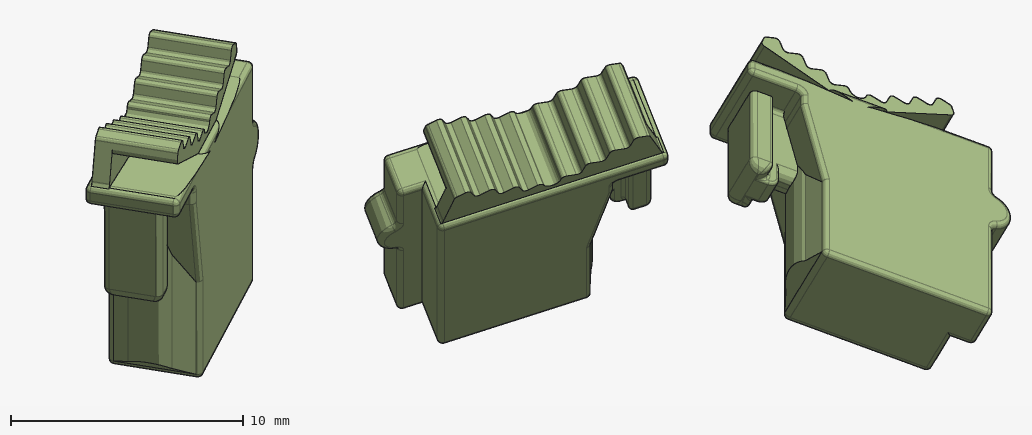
import cadquery as cq
import math

HEIGHT = 13.63
WIDTH = 4.2
DEPTH = 12.5
EDGE = 0.25
PICK = 0.04

PLATE_TOP = 11.38
PLATE_BOTTOM = 10.47
BODY_BACK = 10.52
NECK_FRONT = 2.52
SLOPE_TOP = 9.62
BODY_FRONT = 3.55
SLOPE_BOTTOM = 5.0
SLOPE_RATE = (BODY_FRONT - NECK_FRONT) / (SLOPE_TOP - SLOPE_BOTTOM)

HUMP_LEFT = 1.0
HUMP_RIGHT = 2.97
HUMP_FRONT = 2.92
HUMP_SHOULDER = 3.23
HUMP_BASE = EDGE

RAIL_LEFT = 2.17
RAIL_BACK = 11.61
RAIL_ROOT = 8.18
BUMP_RADIUS = 1.06
BUMP_Z = 7.13
BUMP_FOOT_RADIUS = 0.34

ARM_LEFT = 0.67
ARM_RIGHT = 3.28
ARM_FRONT = 0.53
ARM_BACK = 1.57
ARM_BOTTOM = 5.48
ARM_EDGE = 0.27
CLIP_ROUND = 0.49
STEP_ROUND = 0.15
WEB_INSET = 0.7
WEB_LEFT = ARM_LEFT + WEB_INSET
WEB_RIGHT = ARM_RIGHT - WEB_INSET
WEB_BOTTOM = 6.46
WEB_ROUND = 0.49
TAIL_BACK = 2.17
TAIL_EDGE = 0.14
WEB_TOP_ROUND = 0.2
CLIP_TOP = PLATE_BOTTOM + EDGE

GRIP_MIDDLE = BODY_BACK / 2
GRIP_FOOT = 0.23
FOOT_FRONT = 0.16
FOOT_RISE = 0.16
FLANK_RATE = 0.28
TEETH_PER_SIDE = 4
TOOTH_PITCH = 1.1
TOOTH_DROP = 0.5
TOOTH_TILT = math.radians(20)
TOOTH_ROUND = 0.2
MIDDLE_ROUND = 0.41
FIRST_TOOTH = 1.47

HOLLOW_LEFT = 1.04
LIP_BACK = 0.4
FLOOR_RATE = 0.1
CEILING_LIP_Z = 12.87
CEILING_ROUND = 0.2


def prism_x(points, left, right):
    """Extrude a closed YZ outline along X."""
    return cq.Workplane("YZ").polyline(points).close().extrude(right - left).translate((left, 0, 0))


def edges_at(y, z):
    """Select edges whose middle lies at the given Y and Z, at any X."""
    return cq.selectors.BoxSelector((0, y - PICK, z - PICK), (WIDTH, y + PICK, z + PICK))


def slope_y(z):
    """Y of the sloped front plane at height z."""
    return BODY_FRONT - (z - SLOPE_BOTTOM) * SLOPE_RATE


def flank_y(z):
    """Y of the front flank of the grip at height z."""
    return GRIP_FOOT + FLANK_RATE * (z - PLATE_TOP)


def mirrored(points):
    """Mirror YZ points about the middle of the grip and reverse their order."""
    return [(2 * GRIP_MIDDLE - y, z) for y, z in reversed(points)]


def mirror_copy(solid):
    """Copy of a solid mirrored in Y about the middle of the grip."""
    return solid.mirror("XZ").translate((0, 2 * GRIP_MIDDLE, 0))


def make_body():
    outline = [
        (BODY_BACK, 0), (BODY_BACK, PLATE_TOP), (0, PLATE_TOP), (0, PLATE_BOTTOM),
        (NECK_FRONT, PLATE_BOTTOM), (NECK_FRONT, SLOPE_TOP),
        (BODY_FRONT, SLOPE_BOTTOM), (BODY_FRONT, 0),
    ]
    body = prism_x(outline, 0, WIDTH)
    body = body.edges(edges_at(NECK_FRONT, PLATE_BOTTOM)).fillet(EDGE)
    corners = body.edges("<Z or >Z").add(body.edges("|X").edges("<Y"))
    return corners.add(body.faces("<X or >X").edges()).fillet(EDGE)


def make_hump():
    plan = (
        cq.Workplane("XY")
        .moveTo(EDGE, BODY_FRONT).lineTo(HUMP_LEFT, HUMP_SHOULDER)
        .threePointArc(((HUMP_LEFT + HUMP_RIGHT) / 2, HUMP_FRONT), (HUMP_RIGHT, HUMP_SHOULDER))
        .lineTo(WIDTH - EDGE, BODY_FRONT).lineTo(WIDTH - EDGE, BODY_FRONT + EDGE)
        .lineTo(EDGE, BODY_FRONT + EDGE).close().extrude(PLATE_TOP)
    )
    rise = BODY_FRONT - HUMP_FRONT
    side = [
        (BODY_FRONT + EDGE, HUMP_BASE), (BODY_FRONT, HUMP_BASE), (HUMP_FRONT, HUMP_BASE + rise),
        (HUMP_FRONT, SLOPE_BOTTOM + rise / SLOPE_RATE),
        (BODY_FRONT, SLOPE_BOTTOM), (BODY_FRONT + EDGE, SLOPE_BOTTOM),
    ]
    return plan.intersect(prism_x(side, 0, WIDTH))


def make_rail():
    length = WIDTH - RAIL_LEFT
    bar = [(RAIL_ROOT, 0), (RAIL_BACK, 0), (RAIL_BACK, PLATE_TOP), (RAIL_ROOT, PLATE_TOP)]
    bump_y = DEPTH - BUMP_RADIUS
    bump = cq.Workplane("YZ").center(bump_y, BUMP_Z).circle(BUMP_RADIUS).extrude(length)
    rail = prism_x(bar, RAIL_LEFT, WIDTH).union(bump.translate((RAIL_LEFT, 0, 0)))
    half_chord = math.sqrt(BUMP_RADIUS**2 - (RAIL_BACK - bump_y) ** 2)
    for z in (BUMP_Z - half_chord, BUMP_Z + half_chord):
        rail = rail.edges("|X").edges(edges_at(RAIL_BACK, z)).fillet(BUMP_FOOT_RADIUS)
    outer = rail.faces("<X or >X").edges()
    for z in (0, PLATE_TOP):
        outer = outer.add(rail.edges("|X").edges(edges_at(RAIL_BACK, z)))
    return outer.fillet(EDGE)


def make_arm():
    arm = (
        cq.Workplane("XY", origin=(0, 0, ARM_BOTTOM))
        .moveTo(ARM_LEFT, ARM_FRONT).lineTo(ARM_RIGHT, ARM_FRONT)
        .lineTo(ARM_RIGHT, ARM_BACK).lineTo(ARM_LEFT, ARM_BACK).close()
        .extrude(CLIP_TOP - ARM_BOTTOM)
    )
    arm = arm.edges("|Z").edges("<Y").fillet(ARM_EDGE)
    arm = arm.edges("|Z").edges(">Y").fillet(STEP_ROUND)
    return arm.faces("<Z").edges().fillet(CLIP_ROUND)


def make_web():
    front = ARM_BACK - CLIP_ROUND
    bridge_outline = [
        (front, WEB_BOTTOM), (slope_y(WEB_BOTTOM), WEB_BOTTOM), (slope_y(CLIP_TOP), CLIP_TOP),
        (front, CLIP_TOP),
    ]
    bridge = prism_x(bridge_outline, WEB_LEFT, WEB_RIGHT)
    bridge = bridge.faces("<Z").edges("|Y").fillet(WEB_ROUND)

    tail_outline = [
        (front, ARM_BOTTOM), (TAIL_BACK, ARM_BOTTOM), (TAIL_BACK, PLATE_BOTTOM), (front, PLATE_BOTTOM),
    ]
    tail = prism_x(tail_outline, WEB_LEFT, WEB_RIGHT)
    tail = tail.edges(edges_at(TAIL_BACK, ARM_BOTTOM)).fillet(CLIP_ROUND)
    tail = tail.faces(">Y").edges("|Z").fillet(TAIL_EDGE)

    blend_bottom = PLATE_BOTTOM - WEB_TOP_ROUND
    blend = prism_x(
        [(ARM_BACK, blend_bottom), (slope_y(blend_bottom), blend_bottom),
         (slope_y(CLIP_TOP), CLIP_TOP), (ARM_BACK, CLIP_TOP)],
        WEB_LEFT - WEB_TOP_ROUND, WEB_RIGHT + WEB_TOP_ROUND,
    )
    for x in (WEB_LEFT - WEB_TOP_ROUND, WEB_RIGHT + WEB_TOP_ROUND):
        groove = cq.Workplane("XZ").center(x, blend_bottom).circle(WEB_TOP_ROUND).extrude(-BODY_FRONT)
        blend = blend.cut(groove)
    return bridge.union(tail).union(blend)


def make_clip():
    clip = make_arm().union(make_web())
    step_top = PLATE_BOTTOM - WEB_TOP_ROUND
    for x in (WEB_LEFT, WEB_RIGHT):
        corner = cq.selectors.BoxSelector(
            (x - PICK, ARM_BACK - PICK, ARM_BOTTOM), (x + PICK, ARM_BACK + PICK, step_top)
        )
        clip = clip.edges("|Z").edges(corner).fillet(STEP_ROUND)
    return clip


def grip_outline():
    """YZ points of the sharp tooth profile, as front ridges, middle valley and back ridges."""
    facet_length = TOOTH_PITCH * math.cos(TOOTH_TILT) - TOOTH_DROP * math.sin(TOOTH_TILT)
    crest_z = HEIGHT + TOOTH_ROUND * (math.sin(TOOTH_TILT) + math.cos(TOOTH_TILT) - 1)
    front = []
    for tooth in range(TEETH_PER_SIDE):
        y = FIRST_TOOTH + tooth * TOOTH_PITCH
        z = crest_z - tooth * TOOTH_DROP
        if tooth > 0:
            facet_run = facet_length * math.cos(TOOTH_TILT)
            facet_fall = facet_length * math.sin(TOOTH_TILT)
            front.append((y - facet_run, z - facet_fall))
        front.append((y, z))
    flank_reach = FIRST_TOOTH - flank_y(crest_z)
    outer_run = flank_reach / (1 - FLANK_RATE * math.tan(TOOTH_TILT))
    front.insert(0, (FIRST_TOOTH - outer_run, crest_z - outer_run * math.tan(TOOTH_TILT)))
    last_y, last_z = front[-1]
    valley = (GRIP_MIDDLE, last_z - (GRIP_MIDDLE - last_y) / math.tan(TOOTH_TILT))
    return front, valley, mirrored(front)


def make_grip():
    front, valley, back = grip_outline()
    base = PLATE_TOP - EDGE
    foot = [(GRIP_FOOT, base), (GRIP_FOOT, PLATE_TOP)]
    points = [*foot, *front, valley, *back, *mirrored(foot)]
    grip = prism_x(points, EDGE, WIDTH - EDGE)
    grip = grip.edges(edges_at(*valley)).fillet(MIDDLE_ROUND)
    ridges = cq.Workplane("XY")
    for y, z in front + back:
        ridges = ridges.add(grip.edges(edges_at(y, z)))
    return grip.newObject(ridges.vals()).fillet(TOOTH_ROUND)


def make_foot():
    """Concave blend, left of the hollow, from the front flank of the grip to the rounded plate edge."""
    foot_top = PLATE_TOP + FOOT_RISE
    root = PLATE_TOP - EDGE
    edge_z = root + math.sqrt(EDGE**2 - (EDGE - FOOT_FRONT) ** 2)
    foot = (
        cq.Workplane("YZ")
        .moveTo(flank_y(foot_top + EDGE), foot_top + EDGE).lineTo(flank_y(foot_top), foot_top)
        .tangentArcPoint((FOOT_FRONT, edge_z), relative=False)
        .lineTo(FOOT_FRONT + EDGE, root).lineTo(FOOT_FRONT + 2 * EDGE, root).close()
        .extrude(HOLLOW_LEFT - EDGE)
    )
    return foot.translate((EDGE, 0, 0))


def make_hollow():
    """Wedge-shaped space under the front half of the grip, open at +X."""
    ceiling_rate = TOOTH_DROP / TOOTH_PITCH
    front_z = CEILING_LIP_Z + ceiling_rate * flank_y(CEILING_LIP_Z)
    run = (front_z - PLATE_TOP - FLOOR_RATE * LIP_BACK) / (ceiling_rate - FLOOR_RATE)
    tip = (run, PLATE_TOP - FLOOR_RATE * (run - LIP_BACK))
    outline = [(LIP_BACK, PLATE_TOP), tip, (0, front_z), (0, PLATE_TOP)]
    return prism_x(outline, HOLLOW_LEFT, WIDTH)


def make_part():
    foot = make_foot()
    hollow = make_hollow()
    grip = make_grip().union(foot).union(mirror_copy(foot))
    part = make_body().union(make_hump()).union(make_rail()).union(make_clip()).union(grip)
    part = part.cut(hollow).cut(mirror_copy(hollow))
    ceiling_lip = [(flank_y(CEILING_LIP_Z), CEILING_LIP_Z)]
    for y, z in ceiling_lip + mirrored(ceiling_lip):
        part = part.edges("|X").edges(edges_at(y, z)).fillet(CEILING_ROUND)
    return part


result = make_part()